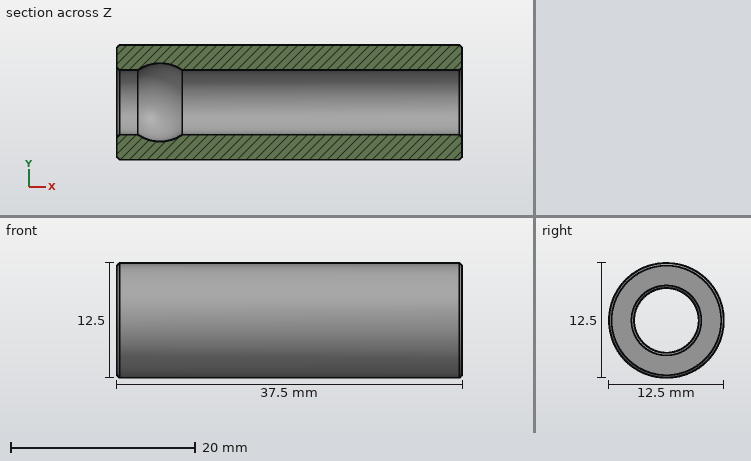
import cadquery as cq
import math

length = 37.5
outer_diameter = 12.5
bore_diameter = 7.0
chamfer = 0.3
land_length = 2.3
recess_diameter = 8.5

outer_radius = outer_diameter / 2
bore_radius = bore_diameter / 2
mouth_radius = bore_radius + chamfer
recess_radius = recess_diameter / 2
half_length = length / 2
bevel_start = half_length - chamfer
recess_half_width = math.sqrt(recess_radius**2 - bore_radius**2)
recess_start = -half_length + land_length
recess_center = recess_start + recess_half_width
recess_end = recess_center + recess_half_width


def revolve_about_x(profile):
    """Full turn of a closed XY profile about the X axis."""
    return profile.revolve(360, (0, 0, 0), (1, 0, 0))


def make_body():
    """Solid cylinder along X with bevelled rims."""
    rim_radius = outer_radius - chamfer
    profile = (
        cq.Workplane("XY")
        .moveTo(-half_length, 0)
        .lineTo(-half_length, rim_radius)
        .lineTo(-bevel_start, outer_radius)
        .lineTo(bevel_start, outer_radius)
        .lineTo(half_length, rim_radius)
        .lineTo(half_length, 0)
        .close()
    )
    return revolve_about_x(profile)


def make_bore():
    """Through bore with bevelled mouths and a spherical recess near the -X end."""
    profile = (
        cq.Workplane("XY")
        .moveTo(-half_length, 0)
        .lineTo(-half_length, mouth_radius)
        .lineTo(-bevel_start, bore_radius)
        .lineTo(recess_start, bore_radius)
        .threePointArc((recess_center, recess_radius), (recess_end, bore_radius))
        .lineTo(bevel_start, bore_radius)
        .lineTo(half_length, mouth_radius)
        .lineTo(half_length, 0)
        .close()
    )
    return revolve_about_x(profile)


result = make_body().cut(make_bore())